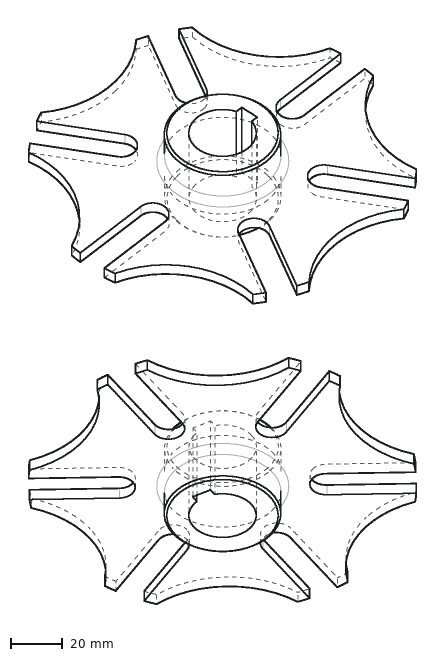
import cadquery as cq
import math

STATIONS = 6
STATION_ANGLE = 360 / STATIONS

plate_radius = 75.0
plate_thickness = 5.0

slot_width = 12.5
slot_end_centre = 40.0

lock_arc_radius = 42.5
lock_arc_floor_radius = 60.0

hub_diameter = 45.0
hub_length = 35.0
hub_chamfer = 1.0
hub_fillet = 3.0

bore_diameter = 26.0
keyway_width = 8.0
keyway_top = 15.5

through_length = 2 * hub_length


def through_cylinder(radius, x, y):
    """Cylinder along Z, long enough to pass through the whole part."""
    return cq.Workplane("XY").center(x, y).circle(radius).extrude(through_length / 2, both=True)


def through_block(width, y_start, y_end):
    """Block centred on X = 0 between two Y positions, passing through the whole part."""
    return cq.Workplane("XY").box(width, y_end - y_start, through_length).translate(
        (0, (y_start + y_end) / 2, 0)
    )


def make_slot_cutter():
    """Open-ended slot with a round floor."""
    end_radius = slot_width / 2
    channel = through_block(slot_width, slot_end_centre, plate_radius + slot_width)
    return channel.union(through_cylinder(end_radius, 0, slot_end_centre))


def make_lock_arc_cutter():
    """Cylinder that scoops one locking arc out of the plate rim."""
    return through_cylinder(lock_arc_radius, lock_arc_floor_radius + lock_arc_radius, 0)


def make_plate():
    """Disc with the slots and locking arcs cut at every station."""
    plate = cq.Workplane("XY").circle(plate_radius).extrude(plate_thickness / 2, both=True)
    for cutter in (make_slot_cutter(), make_lock_arc_cutter()):
        for station in range(STATIONS):
            plate = plate.cut(cutter.rotate((0, 0, 0), (0, 0, 1), station * STATION_ANGLE))
    return plate


def make_hub():
    """Revolved hub with chamfered ends and concave fillets flaring onto both plate faces."""
    radius = hub_diameter / 2
    half_length = hub_length / 2
    half_plate = plate_thickness / 2
    flare_radius = radius + hub_fillet
    fillet_top = half_plate + hub_fillet
    arc_offset = hub_fillet * (1 - math.sqrt(0.5))
    upper_half = (
        cq.Workplane("XZ")
        .lineTo(flare_radius, 0)
        .lineTo(flare_radius, half_plate)
        .threePointArc((radius + arc_offset, half_plate + arc_offset), (radius, fillet_top))
        .lineTo(radius, half_length - hub_chamfer)
        .lineTo(radius - hub_chamfer, half_length)
        .lineTo(0, half_length)
        .close()
        .revolve(360, (0, 0, 0), (0, 1, 0))
    )
    return upper_half.union(upper_half.mirror("XY"))


def make_bore_cutter():
    """Round bore with a keyway on the +Y side."""
    keyway = through_block(keyway_width, 0, keyway_top)
    return through_cylinder(bore_diameter / 2, 0, 0).union(keyway)


result = make_plate().union(make_hub()).cut(make_bore_cutter())